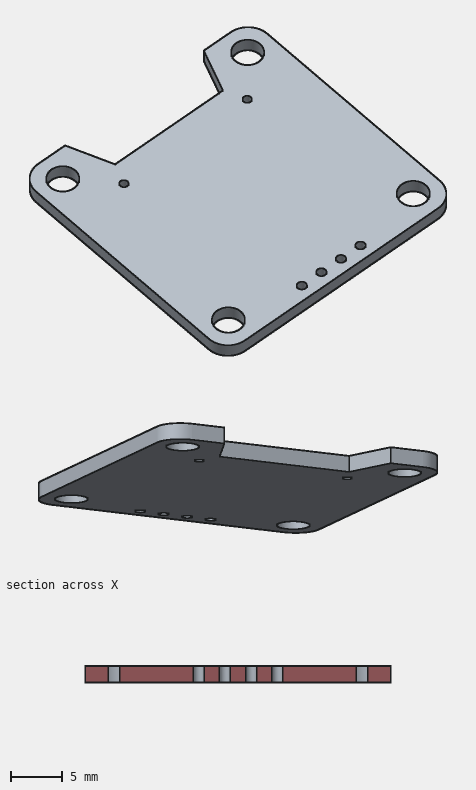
import cadquery as cq

board_side = 30.0
board_thickness = 1.6
corner_radius = 2.5

notch_depth = 5.0
notch_mouth_width = 18.0
notch_floor_width = 14.0

mount_hole_diameter = 3.2
mount_hole_spacing = 24.0

locating_hole_diameter = 0.9
locating_hole_x = -7.6
locating_hole_spacing = 16.0

pin_hole_diameter = 1.0
pin_hole_count = 4
pin_pitch = 2.54
pin_row_x = 13.5


def make_board():
    """Square plate with rounded corners, resting on Z = 0."""
    plate = cq.Workplane("XY").rect(board_side, board_side).extrude(board_thickness)
    return plate.edges("|Z").fillet(corner_radius)


def cut_notch(board):
    """Symmetric notch that narrows from the -X edge inwards."""
    edge_x = -board_side / 2
    floor_x = edge_x + notch_depth
    notch = (
        cq.Workplane("XY")
        .moveTo(edge_x, -notch_mouth_width / 2)
        .lineTo(floor_x, -notch_floor_width / 2)
        .lineTo(floor_x, notch_floor_width / 2)
        .lineTo(edge_x, notch_mouth_width / 2)
        .close()
        .extrude(board_thickness)
    )
    return board.cut(notch)


def drill_through(board, centers, diameter):
    """Through holes of one diameter at the given XY centers."""
    drills = cq.Workplane("XY").pushPoints(centers).circle(diameter / 2).extrude(board_thickness)
    return board.cut(drills)


half_mount = mount_hole_spacing / 2
mount_centers = [(x, y) for x in (-half_mount, half_mount) for y in (-half_mount, half_mount)]

half_locating = locating_hole_spacing / 2
locating_centers = [(locating_hole_x, y) for y in (-half_locating, half_locating)]

first_pin_y = -(pin_hole_count - 1) * pin_pitch / 2
pin_centers = [(pin_row_x, first_pin_y + i * pin_pitch) for i in range(pin_hole_count)]

result = cut_notch(make_board())
result = drill_through(result, mount_centers, mount_hole_diameter)
result = drill_through(result, locating_centers, locating_hole_diameter)
result = drill_through(result, pin_centers, pin_hole_diameter)